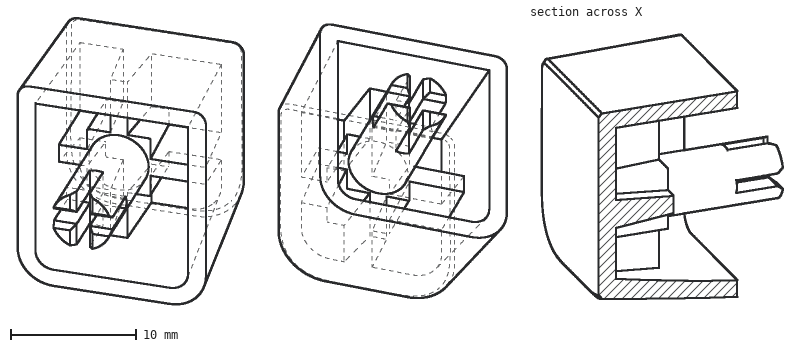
import cadquery as cq
import math

rim_width = 15.75
height = 18.0
overall_depth = 16.5
shell_depth = 11.97
side_taper = 0.47
bottom_taper = 1.51
wall = 1.5
top_radius = 1.0
rim_bottom_radius = 3.0
back_bottom_radius = 4.0
back_chamfer = 0.3

cavity_depth = 10.44
cavity_side_taper = 0.47
cavity_bottom_taper = 1.33
floor_bottom_radius = 2.5

rib_top_depth = 5.49
rib_height = cavity_depth - rib_top_depth
upright_rib_width = 1.42
level_rib_width = 1.55
rib_flare = 0.47
pad_size = 5.3
pad_radius = 0.15

stem_x = -1.12
stem_diameter = 5.0
stem_reach = overall_depth - shell_depth
slot_width = 1.1
slot_depth = 4.05
slot_chamfer = 0.4
slot_chamfer_depth = 0.5

half_height = height / 2


def corner_mid(center, radius, side):
    """Middle point of a rounded bottom corner on the given side (-1 or 1)."""
    reach = radius * math.sqrt(0.5)
    return (center[0] + side * reach, center[1] - reach)


def outline(y, half_width, top, bottom, bottom_radius):
    """Closed X-Z wire at depth y with sharp top and rounded bottom corners."""
    flat = half_width - bottom_radius
    arc_z = bottom + bottom_radius
    return (
        cq.Workplane("XZ", origin=(0, y, 0))
        .moveTo(-half_width, top)
        .lineTo(half_width, top)
        .lineTo(half_width, arc_z)
        .threePointArc(corner_mid((flat, arc_z), bottom_radius, 1), (flat, bottom))
        .lineTo(-flat, bottom)
        .threePointArc(corner_mid((-flat, arc_z), bottom_radius, -1), (-half_width, arc_z))
        .close()
        .val()
    )


def tapered_block(front, back):
    return cq.Workplane(cq.Solid.makeLoft([front, back], True))


def make_shell_body():
    front = outline(0, rim_width / 2, half_height, -half_height, rim_bottom_radius)
    back = outline(
        shell_depth,
        rim_width / 2 - side_taper,
        half_height,
        -half_height + bottom_taper,
        back_bottom_radius,
    )
    body = tapered_block(front, back)
    top_corners = cq.selectors.BoxSelector(
        (-rim_width, 0, half_height - top_radius), (rim_width, shell_depth, half_height + top_radius)
    )
    body = body.edges(top_corners).edges("not(|X)").fillet(top_radius)
    return body.faces(">Y").chamfer(back_chamfer)


def make_cavity():
    half_width = rim_width / 2 - wall
    top = half_height - wall
    front = outline(0, half_width, top, -top, rim_bottom_radius - wall)
    back = outline(
        cavity_depth,
        half_width - cavity_side_taper,
        top,
        -top + cavity_bottom_taper,
        floor_bottom_radius,
    )
    return tapered_block(front, back)


def make_rib(x_size, z_size, x_flare, z_flare):
    """Rib through the stem axis, widening from its top to the cavity floor."""
    return (
        cq.Workplane("XZ", origin=(stem_x, rib_top_depth, 0))
        .rect(x_size, z_size)
        .workplane(offset=-rib_height)
        .rect(x_size + 2 * x_flare, z_size + 2 * z_flare)
        .loft(ruled=True)
    )


def make_ribs_and_pad(cavity):
    upright = make_rib(upright_rib_width, 2 * height, rib_flare, 0)
    level = make_rib(2 * rim_width, level_rib_width, 0, rib_flare)
    pad = (
        cq.Workplane("XZ", origin=(stem_x, rib_top_depth, 0))
        .rect(pad_size, pad_size)
        .extrude(-rib_height)
        .edges("|Y")
        .fillet(pad_radius)
    )
    return upright.union(level).union(pad).intersect(cavity)


def make_slot():
    """Slot cutter along X with a flared mouth at the stem tip."""
    half_slot = slot_width / 2
    half_mouth = half_slot + slot_chamfer
    tip = -stem_reach
    return (
        cq.Workplane("YZ", origin=(stem_x, 0, 0))
        .polyline([
            (tip, -half_mouth),
            (tip + slot_chamfer_depth, -half_slot),
            (tip + slot_depth, -half_slot),
            (tip + slot_depth, half_slot),
            (tip + slot_chamfer_depth, half_slot),
            (tip, half_mouth),
        ])
        .close()
        .extrude(stem_diameter, both=True)
    )


def make_stem():
    stem = (
        cq.Workplane("XZ", origin=(stem_x, -stem_reach, 0))
        .circle(stem_diameter / 2)
        .extrude(-(stem_reach + cavity_depth))
    )
    level_slot = make_slot()
    upright_slot = level_slot.rotate((stem_x, 0, 0), (stem_x, 1, 0), 90)
    return stem.cut(level_slot).cut(upright_slot)


cavity = make_cavity()
shell = make_shell_body().cut(cavity)
result = shell.union(make_ribs_and_pad(cavity)).union(make_stem())